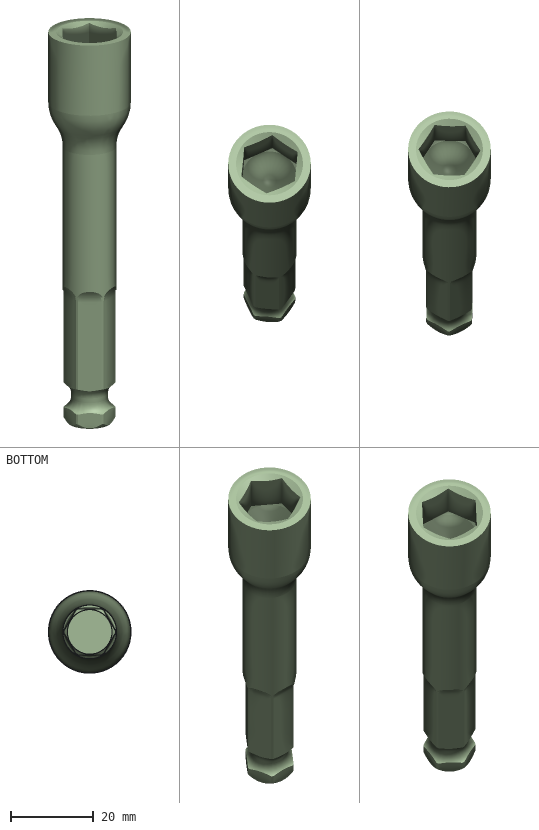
import cadquery as cq
import math

total_length = 100.0
head_radius = 10.0
head_length = 18.0
shank_radius = 6.5
neck_blend_radius = 10.0

hex_sides = 6

drive_flats = 11.1
drive_corner_diameter = 12.5
drive_corner_radius = drive_corner_diameter / 2
drive_corner_top = 33.8
flat_top = 32.6
flat_runout_radius = 5.0
end_radius = 5.4
end_chamfer_height = 1.2

groove_radius = 4.5
groove_bottom = 6.3
groove_top = 7.5
groove_fillet = 2.8

socket_flats = 13.0
socket_depth = 9.8
mouth_radius = 8.1
mouth_chamfer_angle = 60.0
drill_radius = 6.6
drill_point_angle = 118.0


def hexagon_diameter(across_flats):
    return across_flats / math.cos(math.pi / hex_sides)


def revolve_profile(profile):
    """Turn a closed radius-height profile around the Z axis."""
    return profile.close().revolve(360, (0, 0, 0), (0, 1, 0))


def make_body():
    """Turned blank with the S-shaped blend and the end chamfer."""
    blend_top = total_length - head_length
    step = (head_radius - shank_radius) / 2
    half_height = math.sqrt(neck_blend_radius**2 - (neck_blend_radius - step)**2)
    inflection = (shank_radius + step, blend_top - half_height)
    profile = (
        cq.Workplane("XZ")
        .lineTo(end_radius, 0)
        .lineTo(drive_corner_radius, end_chamfer_height)
        .lineTo(drive_corner_radius, drive_corner_top)
        .lineTo(shank_radius, drive_corner_top)
        .lineTo(shank_radius, blend_top - 2 * half_height)
        .radiusArc(inflection, neck_blend_radius)
        .radiusArc((head_radius, blend_top), -neck_blend_radius)
        .lineTo(head_radius, total_length)
        .lineTo(0, total_length)
    )
    return revolve_profile(profile)


def make_flat_cutter():
    """Prism that removes one drive flat and runs out upwards along an arc."""
    flat_distance = drive_flats / 2
    outside = flat_distance + flat_runout_radius
    half_width = head_radius
    return (
        cq.Workplane("YZ")
        .moveTo(flat_distance, 0)
        .lineTo(flat_distance, flat_top)
        .radiusArc((outside, flat_top + flat_runout_radius), flat_runout_radius)
        .lineTo(outside, 0)
        .close()
        .extrude(half_width, both=True)
    )


def make_groove_cutter():
    """Ring with concave fillets flaring out from the groove floor."""
    outer_radius = groove_radius + groove_fillet
    profile = (
        cq.Workplane("XZ")
        .moveTo(groove_radius, groove_bottom)
        .lineTo(groove_radius, groove_top)
        .radiusArc((outer_radius, groove_top + groove_fillet), groove_fillet)
        .lineTo(outer_radius, groove_bottom - groove_fillet)
        .radiusArc((groove_radius, groove_bottom), groove_fillet)
    )
    return revolve_profile(profile)


def make_socket_cutter():
    """Hexagonal recess with a drill-point floor and a conical mouth."""
    floor = total_length - socket_depth
    hexagon = (
        cq.Workplane("XY")
        .workplane(offset=floor)
        .transformed(rotate=(0, 0, 180 / hex_sides))
        .polygon(hex_sides, hexagon_diameter(socket_flats))
        .extrude(socket_depth)
    )
    point_depth = drill_radius / math.tan(math.radians(drill_point_angle / 2))
    drill_point = revolve_profile(
        cq.Workplane("XZ")
        .moveTo(0, floor - point_depth)
        .lineTo(drill_radius, floor)
        .lineTo(0, floor)
    )
    mouth_depth = mouth_radius / math.tan(math.radians(mouth_chamfer_angle))
    mouth = revolve_profile(
        cq.Workplane("XZ")
        .moveTo(0, total_length - mouth_depth)
        .lineTo(mouth_radius, total_length)
        .lineTo(0, total_length)
    )
    return hexagon.union(drill_point).union(mouth)


result = make_body()
flat_cutter = make_flat_cutter()
for side in range(hex_sides):
    result = result.cut(flat_cutter.rotate((0, 0, 0), (0, 0, 1), 360 / hex_sides * side))
result = result.cut(make_groove_cutter()).cut(make_socket_cutter())